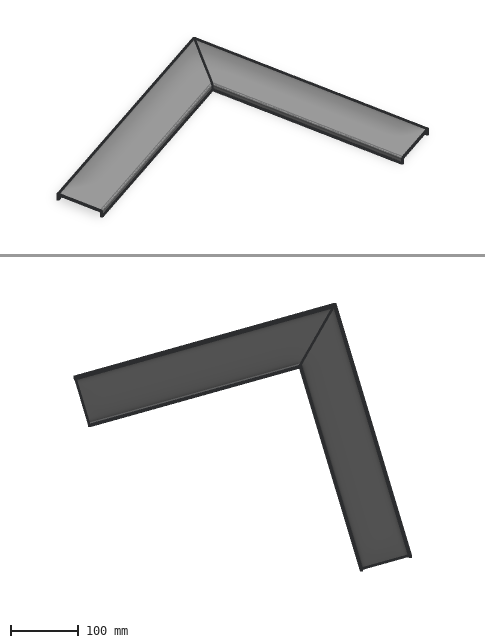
import cadquery as cq

arm_length = 400.0
arm_width = 76.5
arm_height = 11.0
wall = 1.8
bend_radius = 3.0


def channel_outline(inset, radius):
    """Solid arm whose top and long sides lie inset from the outer faces, with rounded top edges."""
    return (
        cq.Workplane("XY")
        .box(arm_length, arm_width - 2 * inset, arm_height - inset, centered=(False, True, False))
        .translate((0, -arm_width / 2, 0))
        .edges("|X and >Z")
        .fillet(radius)
    )


def make_x_arm():
    """Downward-open channel along X, cut at 45 degrees where it meets the other arm."""
    channel = channel_outline(0, bend_radius).cut(channel_outline(wall, bend_radius - wall))
    mitre_waste = (
        cq.Workplane("XY")
        .polyline([(0, 0), (arm_width, -arm_width), (0, -arm_width)])
        .close()
        .extrude(arm_height)
    )
    return channel.cut(mitre_waste)


def make_y_arm():
    """Arm along -Y: the X arm reflected in the vertical mitre plane through the outer corner."""
    mitre_normal = cq.Vector(1, 1, 0)
    return cq.Workplane(make_x_arm().findSolid().mirror(mitre_normal, (0, 0, 0)))


x_arm = make_x_arm()
y_arm = make_y_arm()

result = cq.Compound.makeCompound([x_arm.findSolid(), y_arm.findSolid()])